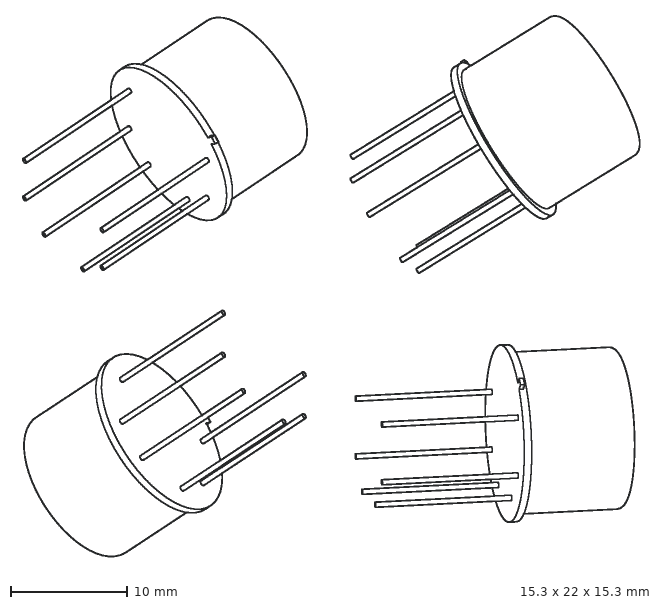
import cadquery as cq

total_length = 22.0
body_height = 10.0
lead_length = total_length - body_height

flange_diameter = 15.3
flange_thickness = 0.65

can_diameter = 14.0
can_height = body_height - flange_thickness
can_edge_radius = 0.5

tab_width = 0.65
tab_thickness = 0.37
tab_reach = 8.35
tab_angle = 45.0

lead_diameter = 0.46
lead_pitch = 2.55
lead_grid_places = [(-2, 1), (2, 1), (-2, -1), (2, -1), (-1, -2), (1, -2)]


def cylinder_along_y(diameter, start_y, length, x=0.0, z=0.0):
    """Cylinder that starts at start_y and runs toward +Y."""
    base = cq.Plane(origin=(x, start_y, z), xDir=(1, 0, 0), normal=(0, 1, 0))
    return cq.Workplane(base).circle(diameter / 2).extrude(length)


def make_can():
    """Cap with a rounded top edge, seated on the header flange."""
    can = cylinder_along_y(can_diameter, flange_thickness, can_height)
    return can.faces(">Y").edges().fillet(can_edge_radius)


def make_tab():
    """Index tab running radially from the axis, flush with the underside."""
    tab = cq.Workplane("XY").box(tab_reach, tab_thickness, tab_width, centered=(False, False, True))
    return tab.rotate((0, 0, 0), (0, 1, 0), -tab_angle)


def make_header():
    """Flange with its index tab and leads, all one body."""
    header = cylinder_along_y(flange_diameter, 0.0, flange_thickness)
    header = header.union(make_tab())
    for column, row in lead_grid_places:
        lead = cylinder_along_y(lead_diameter, -lead_length, lead_length, column * lead_pitch, row * lead_pitch)
        header = header.union(lead)
    return header


can = make_can()
header = make_header()

result = cq.Compound.makeCompound([can.val(), *header.vals()])